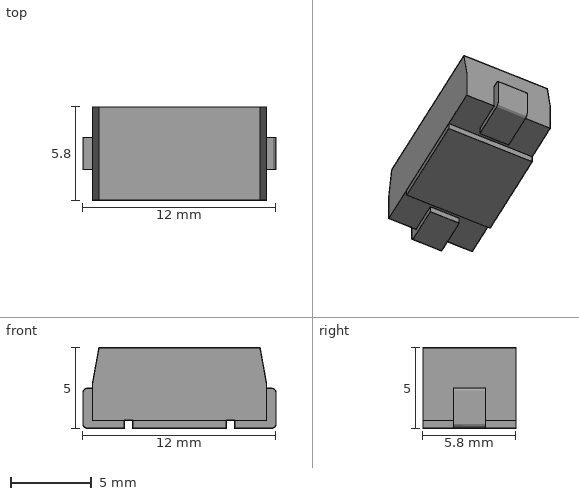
import cadquery as cq

length = 12
width = 5.8
height = 5.0

standoff = 0.5
housing_length = 10.8
taper_start = 2.81
taper_inset = 0.4

terminal_width = 2.0
terminal_height = 2.5
foot_length = 2.58
bend_radius = 0.3
wall_thickness = (length - housing_length) / 2

pad_length = 5.82


def make_housing():
    """Block with vertical lower ends and ends that lean inward above taper_start."""
    half_base = housing_length / 2
    half_top = half_base - taper_inset
    return (
        cq.Workplane("XZ")
        .moveTo(-half_base, standoff)
        .lineTo(half_base, standoff)
        .lineTo(half_base, taper_start)
        .lineTo(half_top, height)
        .lineTo(-half_top, height)
        .lineTo(-half_base, taper_start)
        .close()
        .extrude(width / 2, both=True)
    )


def make_terminal(side):
    """L-shaped lead on one end (side is -1 or 1), its foot folded under the housing."""
    outer_x = side * length / 2
    inner_x = side * (length / 2 - wall_thickness)
    foot_x = side * (length / 2 - foot_length)
    return (
        cq.Workplane("XZ")
        .moveTo(outer_x, 0)
        .lineTo(outer_x, terminal_height)
        .lineTo(inner_x, terminal_height)
        .lineTo(inner_x, standoff)
        .lineTo(foot_x, standoff)
        .lineTo(foot_x, 0)
        .close()
        .extrude(terminal_width / 2, both=True)
        .edges("|Y")
        .edges("<X" if side < 0 else ">X")
        .fillet(bend_radius)
    )


def make_base_pad():
    """Flat pad filling the standoff across the full housing width."""
    return cq.Workplane("XY").box(pad_length, width, standoff, centered=(True, True, False))


housing = make_housing()
terminals = [make_terminal(side) for side in (-1, 1)]
base_pad = make_base_pad()

result = cq.Compound.makeCompound(
    [housing.val(), base_pad.val(), *[terminal.val() for terminal in terminals]]
)